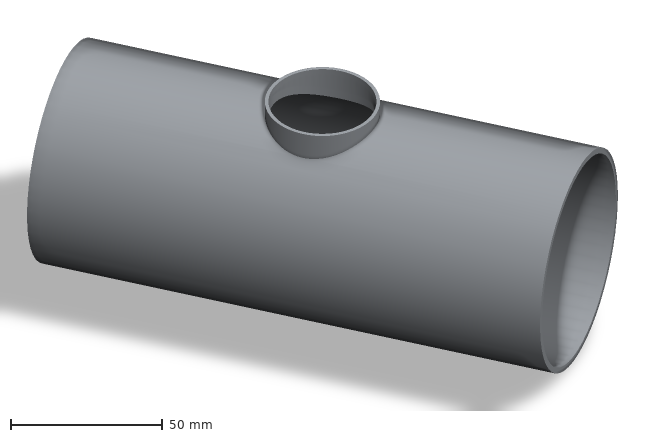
import cadquery as cq

main_length = 180.0
main_outer_diameter = 76.3
main_inner_diameter = 72.3

branch_outer_diameter = 38.1
branch_inner_diameter = 35.7
overall_height = 81.05
branch_top = overall_height - main_outer_diameter / 2


def main_cylinder(diameter):
    """Cylinder along X, centred on the origin, as long as the main pipe."""
    return cq.Workplane("YZ").circle(diameter / 2).extrude(main_length / 2, both=True)


def branch_cylinder(diameter):
    """Cylinder along Z, from the main axis up to the branch rim."""
    return cq.Workplane("XY").circle(diameter / 2).extrude(branch_top)


outer_body = main_cylinder(main_outer_diameter).union(branch_cylinder(branch_outer_diameter))
main_bore = main_cylinder(main_inner_diameter)
branch_bore = branch_cylinder(branch_inner_diameter)

result = outer_body.cut(main_bore).cut(branch_bore)